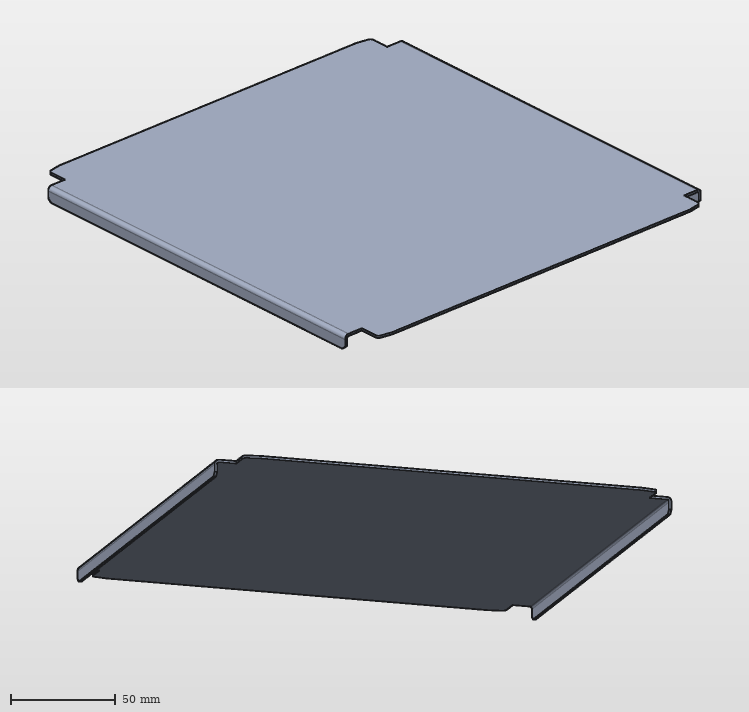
import cadquery as cq

length = 237.6
width = 230.5
height = 8.0

thickness = 1.3
bend_radius = 2.3
inner_bend_radius = bend_radius - thickness

notch_x = 12.8
notch_y = 11.0
taper_length = 8.0
taper_inset = 1.5
taper_corner_radius = 2.0
flange_corner_chamfer = 2.0

flange_length = length - 2 * notch_x
side_width = width - 2 * notch_y


def folded_channel():
    """Sheet bent down along both Y edges, with its top face at Z = 0."""
    outer = (
        cq.Workplane("XY")
        .box(flange_length, width, height, centered=(True, True, False))
        .translate((0, 0, -height))
        .edges("|X and >Z")
        .fillet(bend_radius)
    )
    inner = (
        cq.Workplane("XY")
        .box(flange_length, width - 2 * thickness, height, centered=(True, True, False))
        .translate((0, 0, -height - thickness))
        .edges("|X and >Z")
        .fillet(inner_bend_radius)
    )
    return outer.cut(inner).edges("|Y and <Z").chamfer(flange_corner_chamfer)


def flat_panel():
    """Flat sheet between the notches, with side edges tapering in at their ends."""
    half_x = length / 2
    half_y = side_width / 2
    end_x = half_x - taper_inset
    taper_y = half_y - taper_length
    outline = [
        (end_x, half_y),
        (half_x, taper_y),
        (half_x, -taper_y),
        (end_x, -half_y),
        (-end_x, -half_y),
        (-half_x, -taper_y),
        (-half_x, taper_y),
        (-end_x, half_y),
    ]
    panel = cq.Workplane("XY").polyline(outline).close().extrude(-thickness)
    return panel.edges("|Z and (>Y or <Y)").fillet(taper_corner_radius)


result = flat_panel().union(folded_channel())